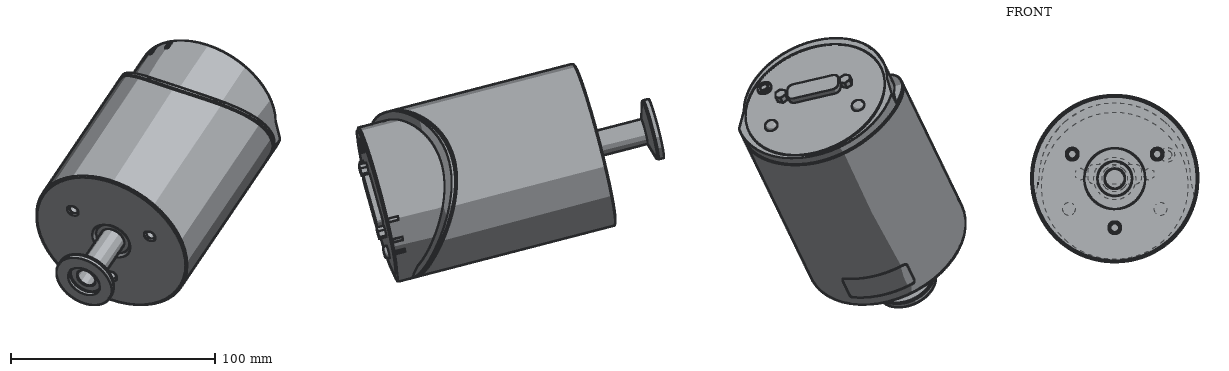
import cadquery as cq
import math


housing_diameter = 82.0
housing_radius = housing_diameter / 2
housing_length = 110.2
front_chamfer_length = 0.6
front_chamfer_width = 0.9
neck_diameter = 74.2
neck_radius = neck_diameter / 2
shoulder_drop = 11.1

groove_outer_radius = 117.2
groove_width = 0.6
groove_depth = 0.3
groove_bottom_y = 105.5
step_offset = 1.5
step_radius = groove_outer_radius + step_offset
curve_center_y = groove_bottom_y - groove_outer_radius
curve_center_z = -housing_radius

window_angles = (28, 40, 57.7)
window_width = 1.9
window_depth = 0.3
window_length = 5.0
window_rear_gap = 0.3

label_start_y = 5.8
label_length = 14.0
label_width = 33.5
label_depth = 0.3
label_corner_radius = 1.5

mount_circle_radius = 24.0
mount_angles = (30, 150, 270)
mount_hole_diameter = 4.4
mount_hole_depth = 10.2
mount_mouth_diameter = 6.3
mount_mouth_depth = 0.9

pipe_recess_mouth_diameter = 20.7
pipe_recess_floor_diameter = 18.0
pipe_recess_depth = 1.6

pipe_diameter = 12.7
pipe_radius = pipe_diameter / 2
flange_face = 31.3
flange_radius = 15.0
flange_rim_thickness = 2.6
flange_lip_radius = 14.7
flange_lip_thickness = 0.7
flange_cone_length = 2.6
seat_diameter = 17.2
seat_depth = 2.2
inner_seat_diameter = 16.8
inner_seat_depth = 0.5
bore_diameter = 9.6
bore_mouth_diameter = 10.2
bore_depth = 26.2

panel_radius = 36.0
panel_center_z = -3.5
panel_thickness = 0.6
panel_y = housing_length + panel_thickness

connector_z = 2.2
connector_width = 26.2
connector_height = 9.6
connector_corner_radius = 2.9
connector_projection = 3.2
jack_sides = 6
jack_spacing = 33.2
jack_across_flats = 5.1
jack_projection = 3.6

screw_spacing = 44.9
screw_z = -14.9
screw_diameter = 6.3
screw_radius = screw_diameter / 2
screw_side_height = 0.5
screw_height = 2.0
screw_top_radius = 1.9

indicator_x = 26.0
indicator_z = 11.7
indicator_base_diameter = 7.0
indicator_base_height = 1.0
indicator_tip_diameter = 4.1
indicator_tip_height = 1.5

cut_clearance = 1.5


def section_at(y):
    """Sketch plane across the axis at y, with local x = X and local y = Z; extrude(-d) goes to +Y."""
    return cq.Workplane("XZ", origin=(0, y, 0))


def round_bar(diameter, y_start, length, x=0.0, z=0.0):
    """Cylinder along +Y from y_start."""
    return section_at(y_start).center(x, z).circle(diameter / 2).extrude(-length)


def turned(points):
    """Solid of revolution about Y from an outline of (radius, y) points."""
    return cq.Workplane("XY").polyline(points).close().revolve(360, (0, 0, 0), (0, 1, 0))


def outer_skin(depth):
    """Tube just inside the housing surface, used to limit shallow cuts."""
    solid = round_bar(housing_diameter + 2 * cut_clearance, 0, housing_length)
    return solid.cut(round_bar(housing_diameter - 2 * depth, 0, housing_length))


def curve_cylinder(radius):
    """Cylinder along X about the centre of the curved step."""
    half_length = housing_radius + cut_clearance
    return (
        cq.Workplane("YZ")
        .center(curve_center_y, curve_center_z)
        .circle(radius)
        .extrude(half_length, both=True)
    )


def make_neck_core():
    """Neck cross-section down to the shoulders: half circle on two flaring sides."""
    shoulder_x = math.sqrt(housing_radius**2 - shoulder_drop**2)
    return (
        section_at(0)
        .moveTo(neck_radius, 0)
        .threePointArc((0, neck_radius), (-neck_radius, 0))
        .lineTo(-shoulder_x, -shoulder_drop)
        .lineTo(shoulder_x, -shoulder_drop)
        .close()
        .extrude(-housing_length)
    )


def make_housing():
    """Cylinder cut down to the neck behind the curved step, above the shoulders."""
    cylinder = turned([
        (0, 0),
        (housing_radius - front_chamfer_width, 0),
        (housing_radius, front_chamfer_length),
        (housing_radius, housing_length),
        (0, housing_length),
    ])
    block_width = housing_diameter + 2 * cut_clearance
    block_height = housing_radius + shoulder_drop + cut_clearance
    waste = (
        section_at(0)
        .center(0, block_height / 2 - shoulder_drop)
        .rect(block_width, block_height)
        .extrude(-housing_length)
        .cut(curve_cylinder(step_radius))
        .cut(make_neck_core())
    )
    return cylinder.cut(waste)


def make_groove():
    """Shallow groove that follows the curved step around the housing."""
    ring = curve_cylinder(groove_outer_radius).cut(curve_cylinder(groove_outer_radius - groove_width))
    return ring.intersect(outer_skin(groove_depth))


def make_label_recess():
    """Shallow rounded rectangle that follows the underside of the housing."""
    block = (
        cq.Workplane("XY", origin=(0, label_start_y + label_length / 2, -housing_radius - cut_clearance))
        .rect(label_width, label_length)
        .extrude(housing_radius)
        .edges("|Z")
        .fillet(label_corner_radius)
    )
    return block.intersect(outer_skin(label_depth))


def make_window(angle):
    """Shallow rectangular pocket in the neck at an angle from -X."""
    start_y = housing_length - window_rear_gap - window_length
    return (
        cq.Workplane("XY")
        .box(2 * window_depth, window_length, window_width)
        .translate((-neck_radius, start_y + window_length / 2, 0))
        .rotate((0, 0, 0), (0, 1, 0), angle)
    )


def make_mount_hole(angle):
    """Blind hole with a conical mouth."""
    x = mount_circle_radius * math.cos(math.radians(angle))
    z = mount_circle_radius * math.sin(math.radians(angle))
    hole_radius = mount_hole_diameter / 2
    mouth_radius = mount_mouth_diameter / 2
    return turned([
        (0, 0),
        (mouth_radius, 0),
        (hole_radius, mount_mouth_depth),
        (hole_radius, mount_hole_depth),
        (0, mount_hole_depth),
    ]).translate((x, 0, z))


def make_pipe_recess():
    """Shallow recess that narrows from its mouth in the front face to a flat floor."""
    return turned([
        (0, 0),
        (pipe_recess_mouth_diameter / 2, 0),
        (pipe_recess_floor_diameter / 2, pipe_recess_depth),
        (0, pipe_recess_depth),
    ])


def make_pipe():
    """Pipe and flange, turned about Y."""
    rim_back_y = -flange_face + flange_rim_thickness
    lip_back_y = rim_back_y + flange_lip_thickness
    return turned([
        (0, -flange_face),
        (flange_radius, -flange_face),
        (flange_radius, rim_back_y),
        (flange_lip_radius, rim_back_y),
        (flange_lip_radius, lip_back_y),
        (pipe_radius, lip_back_y + flange_cone_length),
        (pipe_radius, pipe_recess_depth),
        (0, pipe_recess_depth),
    ])


def make_pipe_bore():
    """Stepped seat in the flange face and the bore behind it, with a chamfered mouth."""
    inner_seat_y = -flange_face + seat_depth
    floor_y = inner_seat_y + inner_seat_depth
    mouth_chamfer = (bore_mouth_diameter - bore_diameter) / 2
    end_y = -flange_face + bore_depth
    return turned([
        (0, -flange_face),
        (seat_diameter / 2, -flange_face),
        (seat_diameter / 2, inner_seat_y),
        (inner_seat_diameter / 2, inner_seat_y),
        (inner_seat_diameter / 2, floor_y),
        (bore_mouth_diameter / 2, floor_y),
        (bore_diameter / 2, floor_y + mouth_chamfer),
        (bore_diameter / 2, end_y),
        (0, end_y),
    ])


def make_connector():
    """Connector shell with rounded corners."""
    return (
        section_at(panel_y)
        .center(0, connector_z)
        .rect(connector_width, connector_height)
        .extrude(-connector_projection)
        .edges("|Y")
        .fillet(connector_corner_radius)
    )


def make_jack_screw(x):
    """Hexagonal post with corners at its top and bottom."""
    half_sector = 180 / jack_sides
    across_corners = jack_across_flats / math.cos(math.radians(half_sector))
    return (
        section_at(panel_y)
        .polygon(jack_sides, across_corners)
        .extrude(-jack_projection)
        .rotate((0, 0, 0), (0, 1, 0), half_sector)
        .translate((x, 0, connector_z))
    )


def make_panel_screw(x):
    """Low screw head with a rounded edge and a flat top."""
    diagonal = math.sqrt(0.5)
    arc_x = screw_top_radius + diagonal * (screw_radius - screw_top_radius)
    arc_y = screw_side_height + diagonal * (screw_height - screw_side_height)
    return (
        cq.Workplane("XY", origin=(0, panel_y, 0))
        .lineTo(screw_radius, 0)
        .lineTo(screw_radius, screw_side_height)
        .threePointArc((arc_x, arc_y), (screw_top_radius, screw_height))
        .lineTo(0, screw_height)
        .close()
        .revolve(360, (0, 0, 0), (0, 1, 0))
        .translate((x, 0, screw_z))
    )


def make_indicator():
    """Round base with a smaller tip."""
    base = round_bar(indicator_base_diameter, panel_y, indicator_base_height, indicator_x, indicator_z)
    tip = round_bar(indicator_tip_diameter, panel_y, indicator_tip_height, indicator_x, indicator_z)
    return base.union(tip)


result = make_housing().cut(make_groove()).cut(make_label_recess())
for window_angle in window_angles:
    result = result.cut(make_window(window_angle))

for mount_angle in mount_angles:
    result = result.cut(make_mount_hole(mount_angle))
result = result.cut(make_pipe_recess())
result = result.union(make_pipe()).cut(make_pipe_bore())

result = result.union(round_bar(2 * panel_radius, housing_length, panel_thickness, z=panel_center_z))
result = result.union(make_connector()).union(make_indicator())
for side in (-1, 1):
    result = result.union(make_jack_screw(side * jack_spacing / 2))
    result = result.union(make_panel_screw(side * screw_spacing / 2))